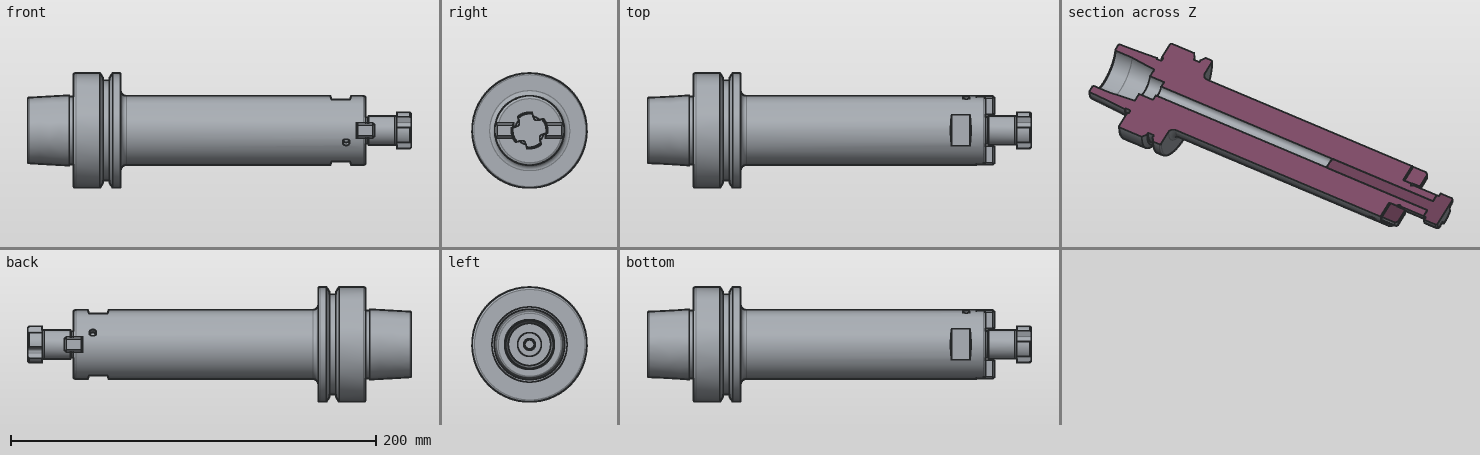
import cadquery as cq


total_length = 210.0
flange_start = 25.0
flange_end = 51.0
shoulder = 185.0
pilot_end = 201.0
head_start = 202.0

flange_radius = 31.5
barrel_diameter = 38.0
barrel_radius = barrel_diameter / 2
pilot_radius = 8.0
taper_front_radius = 18.0
taper_back_radius = 19.3
rim_fillet = 0.8
flange_front_fillet = 1.3
flange_back_fillet = 0.8
shoulder_fillet = 1.5
neck_start = 22.9
neck_radius = 18.7
relief_radius = 20.5
relief_depth = 0.8
barrel_fillet = 3.0
undercut_width = 1.0
undercut_depth = 0.6

groove_centre = 43.0
groove_width = 7.0
groove_half_width = groove_width / 2
groove_floor_half_width = 1.7
groove_depth = 4.0
groove_slot_depth = 1.3

mouth_radius = 13.6
bore_radius = 13.0
bore_taper_start = 10.5
bore_floor_radius = 11.5
bore_floor_x = 25.0
counterbore_radius = 6.5
counterbore_floor_x = 33.5

across_flats = 34.0
flat_start = 166.3
flat_end = 176.5
flat_wall_slope = 0.6

key_back = 180.5
key_slot_back = 180.0
key_front = 190.0
key_width = 8.5
key_inner = 8.6
key_outer = 19.0
key_chamfer = 1.3
key_inner_chamfer = 0.6

grub_x = 174.3
grub_angle = 20.0
grub_radius = 1.9
grub_outer = 14.0
grub_inner = 9.5

head_diameter = 20.0
head_radius = head_diameter / 2
arm_width = 8.2
arm_half_width = arm_width / 2
arm_root_fillet = 1.9
arm_turn = 16.3
head_chamfer = 0.8
shank_radius = 3.2
shank_start = 138.5
tip_chamfer = 0.6

QUARTER_TURN = 90.0
HALF_TURN = 180.0
FULL_TURN = 360.0


def cylinder(start, end, radius):
    """Cylinder about the tool axis."""
    return cq.Workplane("YZ").workplane(offset=start).circle(radius).extrude(end - start)


def revolve_profile(points):
    """Revolve an outline of (x, radius) points about the tool axis."""
    return cq.Workplane("XZ").polyline(points).close().revolve(FULL_TURN, (0, 0, 0), (1, 0, 0))


def about_axis(body, angle):
    return body.rotate((0, 0, 0), (1, 0, 0), angle)


def key_bar(back, outer):
    return cq.Workplane("XY").box(
        key_front - back, outer - key_inner, key_width, centered=(False, False, True)
    ).translate((back, -outer, 0))


def make_drive_key(angle):
    key = key_bar(key_back, key_outer).faces("<Y").edges("not <X").chamfer(key_chamfer)
    key = key.faces(">X").edges("|Y").chamfer(key_chamfer)
    key = key.faces(">X").edges(">Y").chamfer(key_inner_chamfer)
    return about_axis(key, angle)


def grub_cylinder(inner, outer, angle):
    plug = cq.Workplane("XZ").workplane(offset=inner).center(grub_x, 0).circle(grub_radius)
    return about_axis(plug.extrude(outer - inner), angle + grub_angle)


def make_cross_head():
    length = total_length - head_start
    bar = cq.Workplane("XY").box(
        length, head_diameter, arm_width, centered=(False, True, True)
    ).translate((head_start, 0, 0))
    cross = bar.union(about_axis(bar, QUARTER_TURN))
    root_zone = arm_width
    inner_corners = cq.selectors.BoxSelector(
        (head_start, -root_zone, -root_zone), (total_length, root_zone, root_zone)
    )
    cross = cross.edges("|X").edges(inner_corners).fillet(arm_root_fillet)
    envelope = cylinder(head_start, total_length, head_radius).faces(">X").chamfer(head_chamfer)
    return about_axis(cross, arm_turn).intersect(envelope)


def make_clamping_screw():
    shank = cylinder(shank_start, head_start, shank_radius).faces("<X").chamfer(tip_chamfer)
    collar = cylinder(pilot_end, head_start, pilot_radius)
    return shank.union(collar).union(make_cross_head())


def holder_outside():
    floor_radius = flange_radius - groove_depth
    root_radius = barrel_radius + barrel_fillet
    undercut_radius = pilot_radius - undercut_depth
    profile = (
        cq.Workplane("XZ")
        .moveTo(0, 0)
        .lineTo(0, taper_front_radius - rim_fillet)
        .radiusArc((rim_fillet, taper_front_radius), rim_fillet)
        .lineTo(neck_start, taper_back_radius)
        .lineTo(neck_start, neck_radius)
        .lineTo(flange_start + relief_depth, neck_radius)
        .lineTo(flange_start + relief_depth, relief_radius)
        .lineTo(flange_start, relief_radius)
        .lineTo(flange_start, flange_radius - flange_front_fillet)
        .radiusArc((flange_start + flange_front_fillet, flange_radius), flange_front_fillet)
        .lineTo(groove_centre - groove_half_width, flange_radius)
        .lineTo(groove_centre - groove_floor_half_width, floor_radius + groove_slot_depth)
        .lineTo(groove_centre - groove_floor_half_width, floor_radius)
        .lineTo(groove_centre + groove_floor_half_width, floor_radius)
        .lineTo(groove_centre + groove_floor_half_width, floor_radius + groove_slot_depth)
        .lineTo(groove_centre + groove_half_width, flange_radius)
        .lineTo(flange_end - flange_back_fillet, flange_radius)
        .radiusArc((flange_end, flange_radius - flange_back_fillet), flange_back_fillet)
        .lineTo(flange_end, root_radius)
        .radiusArc((flange_end + barrel_fillet, barrel_radius), -barrel_fillet)
        .lineTo(shoulder - shoulder_fillet, barrel_radius)
        .radiusArc((shoulder, barrel_radius - shoulder_fillet), shoulder_fillet)
        .lineTo(shoulder, undercut_radius)
        .lineTo(shoulder + undercut_width, undercut_radius)
        .lineTo(shoulder + undercut_width + undercut_depth, pilot_radius)
        .lineTo(pilot_end, pilot_radius)
        .lineTo(pilot_end, 0)
        .close()
    )
    return profile.revolve(FULL_TURN, (0, 0, 0), (1, 0, 0))


def holder_hollow():
    mouth_chamfer = mouth_radius - bore_radius
    return revolve_profile([
        (0, 0),
        (0, mouth_radius),
        (mouth_chamfer, bore_radius),
        (bore_taper_start, bore_radius),
        (bore_floor_x, bore_floor_radius),
        (bore_floor_x, counterbore_radius),
        (counterbore_floor_x, counterbore_radius),
        (counterbore_floor_x, shank_radius),
        (pilot_end, shank_radius),
        (pilot_end, 0),
    ])


def wrench_flat(angle):
    half_flat = across_flats / 2
    slope_height = barrel_radius - half_flat
    cutter = (
        cq.Workplane("XZ")
        .polyline([
            (flat_start, half_flat),
            (flat_end, half_flat),
            (flat_end + flat_wall_slope, half_flat + slope_height),
            (flat_start - flat_wall_slope, half_flat + slope_height),
        ])
        .close()
        .extrude(barrel_radius, both=True)
    )
    return about_axis(cutter, angle)


def make_holder():
    holder = holder_outside().cut(holder_hollow())
    for angle in (0, HALF_TURN):
        holder = holder.cut(wrench_flat(angle))
        holder = holder.cut(about_axis(key_bar(key_slot_back, barrel_radius), angle))
        holder = holder.cut(grub_cylinder(grub_inner, barrel_radius, angle))
    return holder


holder = make_holder()
clamping_screw = make_clamping_screw()
drive_keys = [make_drive_key(angle) for angle in (0, HALF_TURN)]
grub_screws = [grub_cylinder(grub_inner, grub_outer, angle) for angle in (0, HALF_TURN)]

result = cq.Compound.makeCompound([
    holder.val(),
    clamping_screw.val(),
    *[key.val() for key in drive_keys],
    *[screw.val() for screw in grub_screws],
])